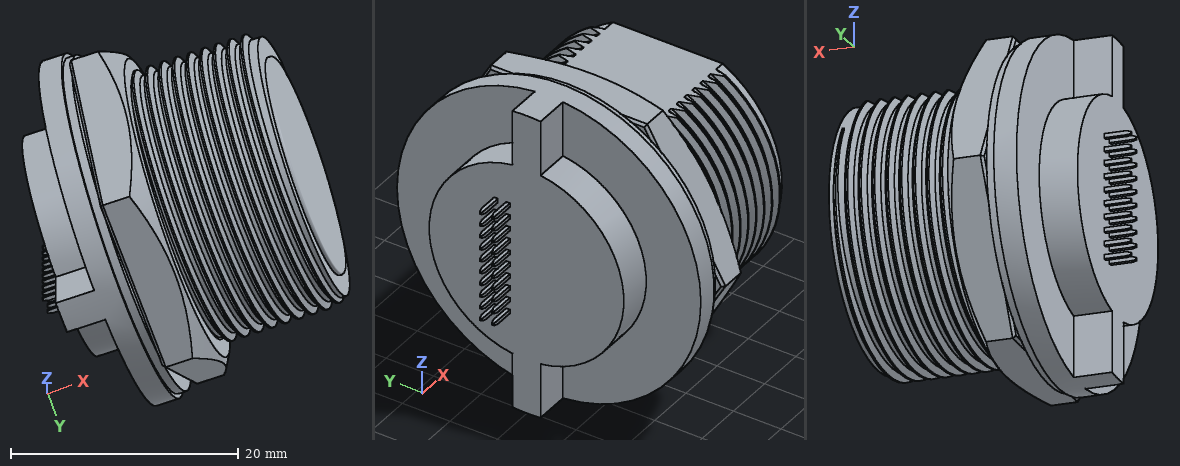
import cadquery as cq
import math


PIN_ROWS = 10
PIN_ROW_SPAN = 11.43
PITCH = PIN_ROW_SPAN / (PIN_ROWS - 1)

FLANGE_REAR = 3.6
FLANGE_FRONT = 5.73
NUT_REAR = 6.55
NUT_FRONT = 10.85
BARREL_END = 22.65
RING_END = 23.03

HUB_RADIUS = 10.25
FLANGE_DIAMETER = 32.0
STEP_RADIUS = 15.58
KEY_WIDTH = 2.95

NUT_ACROSS_CORNERS = 32.95
NUT_REAR_CHAMFER = 0.25
NUT_FACE_RADIUS = 13.85
NUT_CONE_ANGLE = 30.0

CORE_RADIUS = 12.02
CREST_RADIUS = 12.65
FLAT_HEIGHT = 10.55
ROOT_WIDTH = 0.85
CREST_WIDTH = 0.15
THREAD_EMBED = 0.1
THREAD_TURNS = 10
THREAD_START = 9.1
THREAD_START_ANGLE = -64.0
RUNOUT_ANGLE = 100.0
RUNOUT_SINK = 0.6

RING_RADIUS = 10.1
RING_FILLET = 0.2

PIN_WIDTH = 0.4
PIN_LENGTH = 2.45
PIN_TIP_WIDTH = 0.23
PIN_TIP_LENGTH = 0.43
PIN_COLUMNS = 2
PIN_GRID_Y = 2.57


def disc(radius, x_start, x_end):
    """Cylinder on the connector axis between two axial positions."""
    return cq.Workplane("YZ").workplane(offset=x_start).circle(radius).extrude(x_end - x_start)


def make_flange():
    """Hub with two radial keys, standing on the flange, and the step in front of it."""
    hub = disc(HUB_RADIUS, 0, FLANGE_REAR)
    keys = cq.Workplane("YZ").rect(KEY_WIDTH, FLANGE_DIAMETER).extrude(FLANGE_REAR)
    keys = keys.intersect(disc(FLANGE_DIAMETER / 2, 0, FLANGE_REAR))
    flange = disc(FLANGE_DIAMETER / 2, FLANGE_REAR, FLANGE_FRONT)
    step = disc(STEP_RADIUS, FLANGE_FRONT, NUT_REAR)
    return hub.union(keys).union(flange).union(step)


def make_nut():
    """Hexagon with corners on +Y and -Y, chamfered behind and bevelled by a cone in front."""
    nut = (
        cq.Workplane("YZ")
        .workplane(offset=NUT_REAR)
        .polygon(6, NUT_ACROSS_CORNERS)
        .extrude(NUT_FRONT - NUT_REAR)
        .faces("<X")
        .chamfer(NUT_REAR_CHAMFER)
    )
    thickness = NUT_FRONT - NUT_REAR
    cone_base_radius = NUT_FACE_RADIUS + thickness / math.tan(math.radians(NUT_CONE_ANGLE))
    cone = cq.Workplane(
        cq.Solid.makeCone(
            cone_base_radius,
            NUT_FACE_RADIUS,
            thickness,
            pnt=cq.Vector(NUT_REAR, 0, 0),
            dir=cq.Vector(1, 0, 0),
        )
    )
    return nut.intersect(cone)


def sweep_ridge(path):
    """Sweep the thread ridge, drawn in the plane through the start of the path, along it."""
    flank_slope = (ROOT_WIDTH - CREST_WIDTH) / 2 / (CREST_RADIUS - CORE_RADIUS)
    base_radius = CORE_RADIUS - THREAD_EMBED
    half_base = ROOT_WIDTH / 2 + THREAD_EMBED * flank_slope
    half_crest = CREST_WIDTH / 2
    profile = cq.Workplane("XZ").polyline(
        [
            (base_radius, -half_base),
            (CREST_RADIUS, -half_crest),
            (CREST_RADIUS, half_crest),
            (base_radius, half_base),
        ]
    ).close()
    return profile.sweep(cq.Workplane(path), isFrenet=True)


def make_thread():
    """Right-hand thread ridge and the run-out in which its end sinks into the core."""
    length = THREAD_TURNS * PITCH
    ridge = sweep_ridge(cq.Wire.makeHelix(PITCH, length, CORE_RADIUS))

    runout_turns = RUNOUT_ANGLE / 360
    runout_advance = PITCH * runout_turns
    slant = math.hypot(runout_advance, RUNOUT_SINK)
    cone_angle = math.degrees(math.atan2(RUNOUT_SINK, runout_advance))
    runout_path = cq.Wire.makeHelix(slant / runout_turns, slant, CORE_RADIUS, angle=-cone_angle)
    runout = sweep_ridge(runout_path)
    runout = runout.translate((0, 0, length))

    return [
        part.rotate((0, 0, 0), (1, 1, 1), 120)
        .rotate((0, 0, 0), (1, 0, 0), THREAD_START_ANGLE)
        .translate((THREAD_START, 0, 0))
        for part in (ridge, runout)
    ]


def make_barrel():
    """Threaded barrel with one flat on top, closed by a smaller ring at the end."""
    barrel = disc(CORE_RADIUS, NUT_REAR, BARREL_END)
    for part in make_thread():
        barrel = barrel.union(part)
    flat_cut = cq.Workplane("XY").box(
        BARREL_END - NUT_REAR,
        2 * CREST_RADIUS,
        CREST_RADIUS,
        centered=(False, True, False),
    ).translate((NUT_REAR, 0, FLAT_HEIGHT))
    ring = disc(RING_RADIUS, BARREL_END, RING_END).faces(">X").edges().fillet(RING_FILLET)
    return barrel.cut(flat_cut).union(ring)


def make_pin():
    """Square pin pointing to -X with a tapered tip."""
    shank_length = PIN_LENGTH - PIN_TIP_LENGTH
    shank = cq.Workplane("YZ").rect(PIN_WIDTH, PIN_WIDTH).extrude(-shank_length)
    tip = (
        cq.Workplane("YZ")
        .workplane(offset=-shank_length)
        .rect(PIN_WIDTH, PIN_WIDTH)
        .workplane(offset=-PIN_TIP_LENGTH)
        .rect(PIN_TIP_WIDTH, PIN_TIP_WIDTH)
        .loft()
    )
    return shank.union(tip)


def add_pins(body):
    """Join the grid of contact pins to the rear face of the hub."""
    pin = make_pin()
    for column in range(PIN_COLUMNS):
        for row in range(PIN_ROWS):
            y = PIN_GRID_Y + (column - (PIN_COLUMNS - 1) / 2) * PITCH
            z = (row - (PIN_ROWS - 1) / 2) * PITCH
            body = body.union(pin.translate((0, y, z)))
    return body


result = add_pins(make_flange().union(make_nut()).union(make_barrel()))